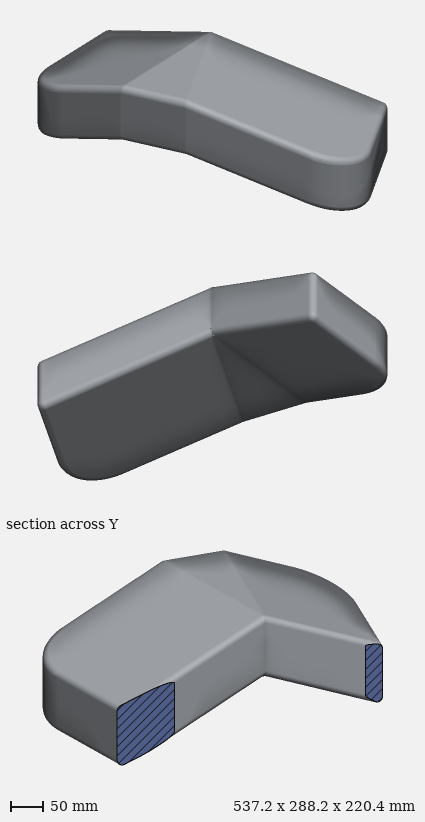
import cadquery as cq
import math

HEIGHT = 99.8
DEPTH = 251.1
WEDGE_FRONT_WIDTH = 108.6
LEFT_WING_LENGTH = 203.4
RIGHT_WING_LENGTH = 293.75
WING_CORNER_RADIUS = 90.0
EDGE_RADIUS = 10.0
WEDGE_TILT = 7.52
WING_FOLD = 17.47
PLAN_TURN = -0.5

LEFT = -1
RIGHT = 1

TILT = math.radians(WEDGE_TILT)
FOLD = math.radians(WING_FOLD)
ORIGIN = cq.Vector(0, 0, 0)
UP = cq.Vector(0, 0, 1)
WEDGE_NORMAL = cq.Vector(0, math.sin(TILT), math.cos(TILT))


def fold_front(side):
    """Front end of the fold line between the wedge and one wing."""
    return cq.Vector(side * WEDGE_FRONT_WIDTH / 2, 0, 0)


def fold_direction(side):
    """Unit vector along a fold line from front to rear; the two lines meet at the rear."""
    inward = WEDGE_FRONT_WIDTH / 2 / DEPTH
    rearward = math.sqrt(1 - inward**2)
    return cq.Vector(-side * inward, rearward * math.cos(TILT), -rearward * math.sin(TILT))


def straight_edges(points):
    """Line segments joining the points in order."""
    return [cq.Edge.makeLine(start, end) for start, end in zip(points, points[1:])]


def extrude_down(edges):
    """Extrude a flat, sloping outline straight down, so that every wall is vertical."""
    outline = cq.Wire.assembleEdges(edges)
    return cq.Workplane(cq.Solid.extrudeLinear(outline, [], UP * -HEIGHT))


def make_wedge():
    """Triangular middle section between the two fold lines."""
    apex = fold_front(LEFT) + fold_direction(LEFT) * DEPTH
    corners = [fold_front(LEFT), fold_front(RIGHT), apex]
    return extrude_down(straight_edges(corners + corners[:1]))


def make_wing(side, length):
    """Rectangular section hinged on a fold line, with its front outer corner rounded."""
    rearward = fold_direction(side)
    in_wedge_plane = rearward.cross(WEDGE_NORMAL) * side
    outward = in_wedge_plane * math.cos(FOLD) - WEDGE_NORMAL * math.sin(FOLD)

    def at(out, back):
        return fold_front(side) + outward * out + rearward * back

    arc_inset = WING_CORNER_RADIUS * (1 - math.sqrt(0.5))
    arc_start = at(length, WING_CORNER_RADIUS)
    arc_middle = at(length - arc_inset, arc_inset)
    arc_end = at(length - WING_CORNER_RADIUS, 0)
    corner = cq.Edge.makeThreePointArc(arc_start, arc_middle, arc_end)
    sides = straight_edges([arc_end, at(0, 0), at(0, DEPTH), at(length, DEPTH), arc_start])
    return extrude_down(sides + [corner])


body = make_wedge()
body = body.union(make_wing(LEFT, LEFT_WING_LENGTH))
body = body.union(make_wing(RIGHT, RIGHT_WING_LENGTH))

body = body.edges().fillet(EDGE_RADIUS)

result = cq.Workplane(body.rotate(ORIGIN, UP, PLAN_TURN).val().Solids()[0])